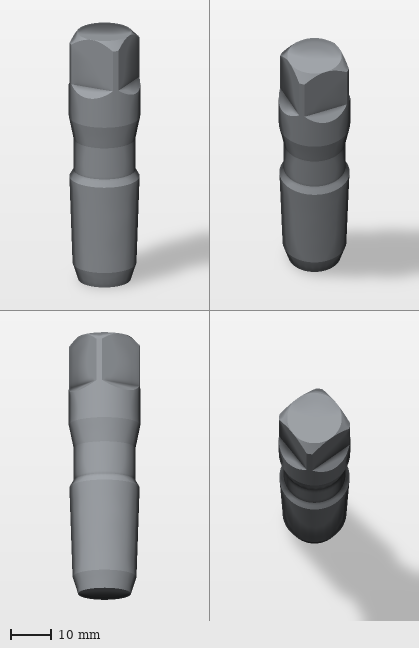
import cadquery as cq

total_length = 65.1
collar_diameter = 17.8
square_width = 13.55

tip_radius = 6.6
tip_height = 4.3
plug_lower_radius = 7.95
plug_upper_radius = 8.7
plug_top = 27.1

neck_radius = 7.7
neck_bottom = 28.9
neck_top = 37.1
collar_bottom = 42.95
flat_bottom = 52.5

collar_radius = collar_diameter / 2
half_square = square_width / 2
step = collar_radius - half_square


def revolve_profile(points):
    """Turn a closed (radius, height) outline around the Z axis."""
    return cq.Workplane("XZ").polyline(points).close().revolve(360, (0, 0), (0, 1))


def make_plug():
    """Slightly tapered plug with a conical lead-in at its lower end."""
    return revolve_profile([
        (0, 0),
        (tip_radius, 0),
        (plug_lower_radius, tip_height),
        (plug_upper_radius, plug_top),
        (0, plug_top),
    ])


def make_turned_shank():
    """Round shank with a neck, a collar and a chamfered upper end."""
    return revolve_profile([
        (0, plug_top),
        (plug_upper_radius, plug_top),
        (neck_radius, neck_bottom),
        (neck_radius, neck_top),
        (collar_radius, collar_bottom),
        (collar_radius, total_length - step),
        (half_square, total_length),
        (0, total_length),
    ])


def make_flat_cutter():
    """Prism that removes one drive flat and its 45 degree run-out on the +X side."""
    margin = 0.65
    reach = step + margin
    outline = [
        (half_square, flat_bottom),
        (half_square + reach, flat_bottom - reach),
        (half_square + reach, total_length + margin),
        (half_square, total_length + margin),
    ]
    return cq.Workplane("XZ").polyline(outline).close().extrude(collar_radius, both=True)


def make_shank():
    """Turned shank with four flats that form the drive square."""
    shank = make_turned_shank()
    flat_count = 4
    for index in range(flat_count):
        angle = index * 360 / flat_count
        shank = shank.cut(make_flat_cutter().rotate((0, 0, 0), (0, 0, 1), angle))
    return shank


plug = make_plug()
shank = make_shank()

result = cq.Compound.makeCompound([plug.val(), *shank.solids().vals()])